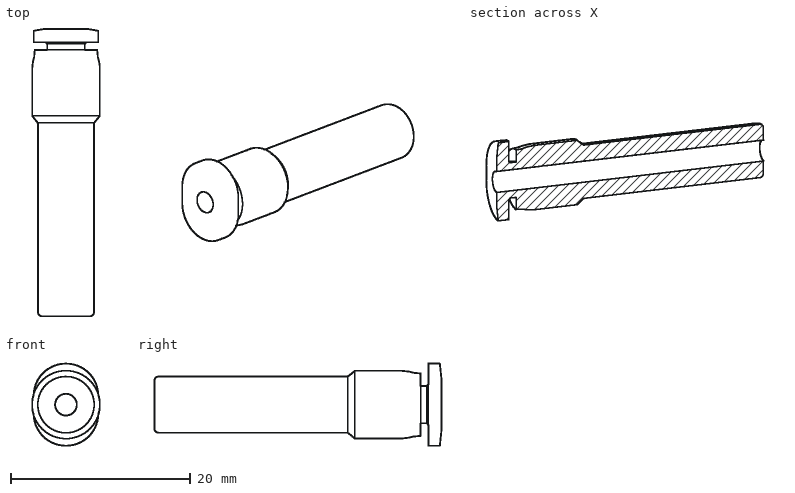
import cadquery as cq
import math

TOTAL_LENGTH = 32.1
STEM_LENGTH = 21.6
SHOULDER_LENGTH = 0.8
BODY_LENGTH = 5.2
CROWN_LENGTH = 1.35
COLLAR_LENGTH = 0.8
FLANGE_FACE_DEPTH = 1.5
FLANGE_RIM_DEPTH = 0.2

STEM_DIAMETER = 6.3
BODY_DIAMETER = 7.6
CROWN_END_DIAMETER = 7.15
COLLAR_END_DIAMETER = 7.0
NECK_DIAMETER = 4.2
BORE_DIAMETER = 2.4

STEM_TIP_FILLET = 0.5
NECK_FLARE = 0.17

FLANGE_WIDTH = 7.25
FLANGE_HEIGHT = 9.2
FLANGE_TOP_WIDTH = 5.0
FLANGE_TOP_HEIGHT = 5.4
FLANGE_RIM_FILLET = 0.1

SHOULDER_END = STEM_LENGTH + SHOULDER_LENGTH
BODY_END = SHOULDER_END + BODY_LENGTH
CROWN_END = BODY_END + CROWN_LENGTH
COLLAR_END = CROWN_END + COLLAR_LENGTH
FLANGE_FACE = TOTAL_LENGTH - FLANGE_FACE_DEPTH
FLANGE_RIM = TOTAL_LENGTH - FLANGE_RIM_DEPTH


def revolve_about_y(profile):
    """Revolve a closed profile in the XY plane a full turn about the Y axis."""
    return profile.close().revolve(360, (0, 0, 0), (0, 1, 0))


def crown_midpoint():
    """Middle of the crown arc, which is tangent to the body and curves in to the collar."""
    body_radius = BODY_DIAMETER / 2
    drop = (BODY_DIAMETER - CROWN_END_DIAMETER) / 2
    arc_radius = (CROWN_LENGTH**2 + drop**2) / (2 * drop)
    half_angle = math.asin(CROWN_LENGTH / arc_radius) / 2
    x = body_radius - arc_radius * (1 - math.cos(half_angle))
    y = BODY_END + arc_radius * math.sin(half_angle)
    return (x, y)


def make_sleeve():
    """Stem, body and neck as one turned shape."""
    stem_radius = STEM_DIAMETER / 2
    body_radius = BODY_DIAMETER / 2
    crown_end_radius = CROWN_END_DIAMETER / 2
    collar_end_radius = COLLAR_END_DIAMETER / 2
    neck_radius = NECK_DIAMETER / 2
    fillet_inset = STEM_TIP_FILLET * (1 - math.sqrt(0.5))
    profile = (
        cq.Workplane("XY")
        .lineTo(stem_radius - STEM_TIP_FILLET, 0)
        .threePointArc(
            (stem_radius - fillet_inset, fillet_inset),
            (stem_radius, STEM_TIP_FILLET),
        )
        .lineTo(stem_radius, STEM_LENGTH)
        .lineTo(body_radius, SHOULDER_END)
        .lineTo(body_radius, BODY_END)
        .threePointArc(crown_midpoint(), (crown_end_radius, CROWN_END))
        .lineTo(collar_end_radius, COLLAR_END)
        .lineTo(neck_radius, COLLAR_END)
        .lineTo(neck_radius, FLANGE_FACE - NECK_FLARE)
        .lineTo(neck_radius + NECK_FLARE, FLANGE_FACE)
        .lineTo(0, FLANGE_FACE)
    )
    return revolve_about_y(profile)


def oblong_at(y, height, width):
    """Upright oblong outline on the plane at the given y."""
    return cq.Workplane("XZ", origin=(0, y, 0)).slot2D(height, width, 90)


def make_flange():
    """Oblong flange whose end face slopes up to a smaller oblong, with a rounded rim."""
    plate = oblong_at(FLANGE_FACE, FLANGE_HEIGHT, FLANGE_WIDTH).extrude(FLANGE_FACE - FLANGE_RIM)
    cap = (
        oblong_at(FLANGE_RIM, FLANGE_HEIGHT, FLANGE_WIDTH)
        .workplane(offset=-FLANGE_RIM_DEPTH)
        .slot2D(FLANGE_TOP_HEIGHT, FLANGE_TOP_WIDTH, 90)
        .loft(ruled=True)
    )
    rim = cq.selectors.BoxSelector(
        (-FLANGE_WIDTH, FLANGE_RIM - FLANGE_RIM_FILLET, -FLANGE_HEIGHT),
        (FLANGE_WIDTH, FLANGE_RIM + FLANGE_RIM_FILLET / 2, FLANGE_HEIGHT),
    )
    return plate.union(cap).edges(rim).fillet(FLANGE_RIM_FILLET)


def make_bore():
    """Through hole along the whole axis."""
    return cq.Workplane("XZ").circle(BORE_DIAMETER / 2).extrude(-TOTAL_LENGTH)


result = make_sleeve().union(make_flange()).cut(make_bore())